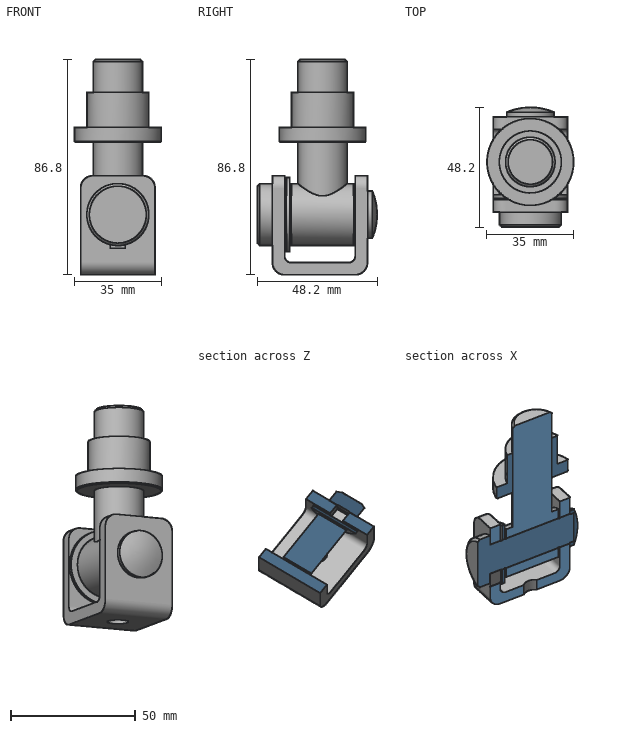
import cadquery as cq


STUD_DIAMETER = 20.0
STUD_TOP = 86.8
STUD_CHAMFER = 1.0
EYE_DIAMETER = 25.0
EYE_LENGTH = 25.0

COLLAR_DIAMETER = EYE_DIAMETER
COLLAR_LENGTH = 14.15
FLANGE_DIAMETER = 35.0
FLANGE_THICKNESS = 6.0
FLANGE_CHAMFER = 0.5
FLANGE_BOTTOM = 53.4

WASHER_DIAMETER = 30.0
WASHER_THICKNESS = 1.5
SIDE_GAP = 0.6

CLEVIS_WIDTH = 30.0
CLEVIS_HEIGHT = 40.0
WALL = 5.0
OUTER_BEND_RADIUS = WALL
INNER_BEND_RADIUS = 2.5
LEG_CORNER_RADIUS = 5.0
BASE_HOLE_DIAMETER = 8.5
SLOT_WIDTH = 6.1
SLOT_REACH = 13.6

PIN_DIAMETER = 15.7
PIN_AXIS_HEIGHT = 24.3
HEAD_DIAMETER = EYE_DIAMETER
HEAD_THICKNESS = 6.0
HEAD_CHAMFER = 1.0
CAP_DIAMETER = 19.1
CAP_RIM = 1.9
CAP_DOME = 2.0

EYE_FRONT = -EYE_LENGTH / 2
WASHER_BACK = EYE_FRONT - SIDE_GAP
LEG_FRONT_INNER = WASHER_BACK - WASHER_THICKNESS - SIDE_GAP
LEG_BACK_INNER = EYE_LENGTH / 2 + SIDE_GAP
CLEVIS_FRONT = LEG_FRONT_INNER - WALL
CLEVIS_BACK = LEG_BACK_INNER + WALL
CLEVIS_CENTER = (CLEVIS_FRONT + CLEVIS_BACK) / 2


def cylinder_y(diameter, y_start, y_end):
    """Cylinder on the pin axis between two Y positions."""
    return (
        cq.Workplane("XZ", origin=(0, y_start, PIN_AXIS_HEIGHT))
        .circle(diameter / 2)
        .extrude(y_start - y_end)
    )


def cylinder_z(diameter, z_start, z_end):
    """Cylinder on the stud axis between two heights."""
    return cq.Workplane("XY", origin=(0, 0, z_start)).circle(diameter / 2).extrude(z_end - z_start)


def make_stud():
    """Round stud growing out of a cross-drilled eye."""
    shank = cylinder_z(STUD_DIAMETER, PIN_AXIS_HEIGHT, STUD_TOP).faces(">Z").chamfer(STUD_CHAMFER)
    eye = cylinder_y(EYE_DIAMETER, EYE_FRONT, -EYE_FRONT)
    bore = cylinder_y(PIN_DIAMETER, EYE_FRONT, -EYE_FRONT)
    return shank.union(eye).cut(bore)


def make_collar():
    """Sleeve with a flange at its lower end, bored to fit the stud."""
    flange_top = FLANGE_BOTTOM + FLANGE_THICKNESS
    collar_top = flange_top + COLLAR_LENGTH
    flange = cylinder_z(FLANGE_DIAMETER, FLANGE_BOTTOM, flange_top).faces("<Z").chamfer(FLANGE_CHAMFER)
    sleeve = cylinder_z(COLLAR_DIAMETER, flange_top, collar_top)
    bore = cylinder_z(STUD_DIAMETER, FLANGE_BOTTOM, collar_top)
    return flange.union(sleeve).cut(bore)


def make_washer():
    """Thin flat washer on the pin."""
    washer_front = WASHER_BACK - WASHER_THICKNESS
    bore = cylinder_y(PIN_DIAMETER, washer_front, WASHER_BACK)
    return cylinder_y(WASHER_DIAMETER, washer_front, WASHER_BACK).cut(bore)


def make_clevis():
    """U-shaped bracket bent from flat bar, with pin holes, a slot and a base hole."""
    block = (
        cq.Workplane("XY", origin=(0, CLEVIS_CENTER, 0))
        .box(CLEVIS_WIDTH, CLEVIS_BACK - CLEVIS_FRONT, CLEVIS_HEIGHT, centered=(True, True, False))
        .edges("|X and <Z")
        .fillet(OUTER_BEND_RADIUS)
        .edges("|Y and >Z")
        .fillet(LEG_CORNER_RADIUS)
    )
    opening = (
        cq.Workplane("XY", origin=(0, CLEVIS_CENTER, WALL))
        .box(CLEVIS_WIDTH, LEG_BACK_INNER - LEG_FRONT_INNER, CLEVIS_HEIGHT, centered=(True, True, False))
        .edges("|X and <Z")
        .fillet(INNER_BEND_RADIUS)
    )
    pin_holes = cylinder_y(PIN_DIAMETER, CLEVIS_FRONT, CLEVIS_BACK)
    slot = (
        cq.Workplane("XY", origin=(0, CLEVIS_FRONT, PIN_AXIS_HEIGHT - SLOT_REACH))
        .box(SLOT_WIDTH, WALL, SLOT_REACH, centered=(True, False, False))
    )
    base_hole = (
        cq.Workplane("XY", origin=(0, CLEVIS_CENTER, 0)).circle(BASE_HOLE_DIAMETER / 2).extrude(WALL)
    )
    return block.cut(opening).cut(pin_holes).cut(slot).cut(base_hole)


def make_pin():
    """Headed hinge pin whose plain end enters the cap."""
    head_front = CLEVIS_FRONT - HEAD_THICKNESS
    head = cylinder_y(HEAD_DIAMETER, head_front, CLEVIS_FRONT).faces("<Y").chamfer(HEAD_CHAMFER)
    shank = cylinder_y(PIN_DIAMETER, CLEVIS_FRONT, CLEVIS_BACK + CAP_RIM)
    return head.union(shank)


def make_cap():
    """Domed cap closing the plain end of the pin."""
    radius = CAP_DIAMETER / 2
    rim_back = CLEVIS_BACK + CAP_RIM
    dome_back = rim_back + CAP_DOME
    sphere_radius = (radius**2 + CAP_DOME**2) / (2 * CAP_DOME)
    half_chord = radius / 2
    arc_y = dome_back - sphere_radius + (sphere_radius**2 - half_chord**2) ** 0.5
    cap = (
        cq.Workplane("XY", origin=(0, 0, PIN_AXIS_HEIGHT))
        .moveTo(0, CLEVIS_BACK)
        .lineTo(radius, CLEVIS_BACK)
        .lineTo(radius, rim_back)
        .threePointArc((half_chord, arc_y), (0, dome_back))
        .close()
        .revolve(360, (0, 0, 0), (0, 1, 0))
    )
    return cap.cut(cylinder_y(PIN_DIAMETER, CLEVIS_BACK, rim_back))


stud = make_stud()
collar = make_collar()
washer = make_washer()
clevis = make_clevis()
pin = make_pin()
cap = make_cap()

result = cq.Compound.makeCompound(
    [stud.val(), collar.val(), washer.val(), clevis.val(), pin.val(), cap.val()]
)